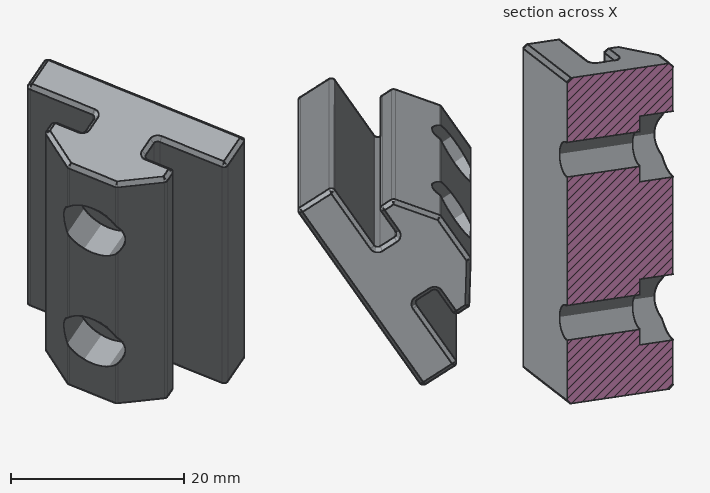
import cadquery as cq

LENGTH = 40.0
DEPTH = 13.4
PLATE_WIDTH = 26.0
PLATE_THICKNESS = 5.0
NECK_WIDTH = 7.8
SLOT_HEIGHT = 3.0
HEAD_WIDTH = 15.8
HEAD_SIDE_HEIGHT = 2.0
NOSE_WIDTH = 6.3
EDGE_RADIUS = 0.5
END_CHAMFER = 0.5

HOLE_DIAMETER = 4.2
COUNTERBORE_DIAMETER = 8.0
COUNTERBORE_DEPTH = 4.2
HOLE_SPACING = 20.0

BACK_Y = DEPTH / 2
NOSE_Y = -DEPTH / 2
PLATE_FRONT_Y = BACK_Y - PLATE_THICKNESS
HEAD_BACK_Y = PLATE_FRONT_Y - SLOT_HEIGHT
TAPER_START_Y = HEAD_BACK_Y - HEAD_SIDE_HEIGHT


def make_t_bar():
    """T-slot profile extruded along Z, with rounded long edges and chamfered ends."""
    right_half = [
        (PLATE_WIDTH / 2, BACK_Y),
        (PLATE_WIDTH / 2, PLATE_FRONT_Y),
        (NECK_WIDTH / 2, PLATE_FRONT_Y),
        (NECK_WIDTH / 2, HEAD_BACK_Y),
        (HEAD_WIDTH / 2, HEAD_BACK_Y),
        (HEAD_WIDTH / 2, TAPER_START_Y),
        (NOSE_WIDTH / 2, NOSE_Y),
    ]
    left_half = [(-x, y) for x, y in reversed(right_half)]
    bar = (
        cq.Workplane("XY")
        .workplane(offset=-LENGTH / 2)
        .polyline(right_half + left_half)
        .close()
        .extrude(LENGTH)
    )
    bar = bar.edges("|Z").fillet(EDGE_RADIUS)
    return bar.faces("<Z or >Z").chamfer(END_CHAMFER)


def drill_counterbored_holes(bar):
    """Screw holes along Y, counterbored from the nose."""
    hole_centers = [(0, -HOLE_SPACING / 2), (0, HOLE_SPACING / 2)]
    nose_plane = cq.Workplane("XZ", origin=(0, NOSE_Y, 0)).pushPoints(hole_centers)
    through_holes = nose_plane.circle(HOLE_DIAMETER / 2).extrude(-DEPTH)
    counterbores = nose_plane.circle(COUNTERBORE_DIAMETER / 2).extrude(-COUNTERBORE_DEPTH)
    return bar.cut(through_holes).cut(counterbores)


result = drill_counterbored_holes(make_t_bar())